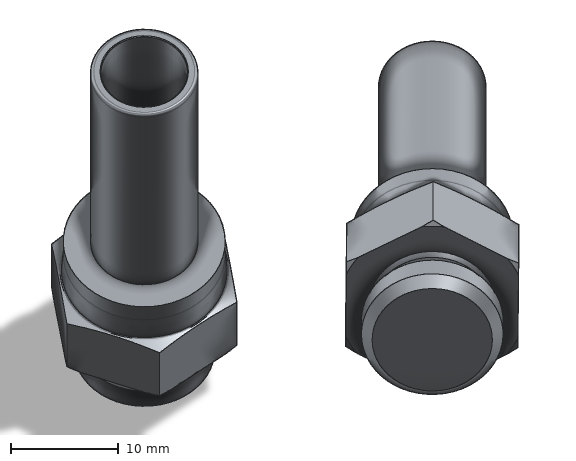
import cadquery as cq
import math

total_height = 45.1
lead_in_chamfer = 1.0
thread_top = 3.45
neck_bottom = 3.95
flare_height = 0.55
hex_bottom = 6.0
hex_top = 13.5
cone_top = 16.05
collar_top = 18.15

thread_radius = 6.6
neck_radius = 5.65
flare_radius = 5.95
cone_base_radius = 7.7
collar_radius = 7.55
tube_radius = 5.0
bore_radius = 4.0

across_flats = 16.0
corner_radius = across_flats / math.sqrt(3)
hex_top_radius = 7.85
hex_top_drop = 0.45
hex_bottom_radius = 8.7
hex_bottom_rise = 0.23

rim_outer_fillet = 0.3
rim_inner_chamfer = 0.1


def revolve_profile(points):
    """Turn an outline of (radius, height) points about the Z axis."""
    return cq.Workplane("XZ").polyline(points).close().revolve(360, (0, 0), (0, 1))


def threaded_end():
    """Plain stub with a lead-in chamfer, and a neck that flares into the hexagon."""
    return revolve_profile([
        (0, 0),
        (thread_radius - lead_in_chamfer, 0),
        (thread_radius, lead_in_chamfer),
        (thread_radius, thread_top),
        (neck_radius, neck_bottom),
        (neck_radius, hex_bottom - flare_height),
        (flare_radius, hex_bottom),
        (0, hex_bottom),
    ])


def hexagon():
    """Hexagonal prism with its corners turned off conically at both ends."""
    prism = (
        cq.Workplane("XY")
        .workplane(offset=hex_bottom)
        .polygon(6, 2 * corner_radius)
        .extrude(hex_top - hex_bottom)
    )
    turned_envelope = revolve_profile([
        (0, hex_bottom),
        (hex_bottom_radius, hex_bottom),
        (corner_radius, hex_bottom + hex_bottom_rise),
        (corner_radius, hex_top - hex_top_drop),
        (hex_top_radius, hex_top),
        (0, hex_top),
    ])
    return prism.intersect(turned_envelope)


def collar():
    """Tapered band below a cylindrical band."""
    return revolve_profile([
        (0, hex_top),
        (cone_base_radius, hex_top),
        (collar_radius, cone_top),
        (collar_radius, collar_top),
        (0, collar_top),
    ])


def tube():
    """Tube on the collar, open at the top and closed by the collar face."""
    return (
        cq.Workplane("XY")
        .workplane(offset=collar_top)
        .circle(tube_radius)
        .circle(bore_radius)
        .extrude(total_height - collar_top)
        .faces(">Z")
        .edges(cq.selectors.RadiusNthSelector(1))
        .fillet(rim_outer_fillet)
        .faces(">Z")
        .edges(cq.selectors.RadiusNthSelector(0))
        .chamfer(rim_inner_chamfer)
    )


result = threaded_end().union(hexagon()).union(collar()).union(tube())